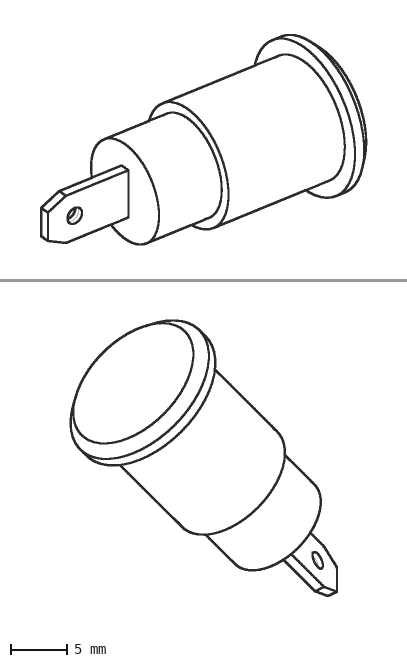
import cadquery as cq

total_length = 31.0

neck_diameter = 10.0
neck_length = 7.0
body_diameter = 12.0
body_length = 13.0
flange_diameter = 15.0
flange_thickness = 2.0
flange_chamfer = 1.0

blade_length = total_length - neck_length - body_length - flange_thickness
blade_width = 5.0
blade_thickness = 1.0
tip_length = 2.0
tip_width = 3.0
hole_diameter = 1.6
hole_from_tip = 3.0

neck_start = blade_length
body_start = neck_start + neck_length
flange_start = body_start + body_length


def cylinder(diameter, start, length):
    """Cylinder on the Y axis running from start toward +Y."""
    return cq.Workplane("XZ", origin=(0, start, 0)).circle(diameter / 2).extrude(-length)


def make_flange():
    """Flange disc with its outer +Y edge chamfered."""
    disc = cylinder(flange_diameter, flange_start, flange_thickness)
    return disc.faces(">Y").edges().chamfer(flange_chamfer)


def make_blade():
    """Blade in the YZ plane with a tapered tip and a cross hole."""
    blade = (
        cq.Workplane("YZ")
        .moveTo(0, -tip_width / 2)
        .lineTo(tip_length, -blade_width / 2)
        .lineTo(blade_length, -blade_width / 2)
        .lineTo(blade_length, blade_width / 2)
        .lineTo(tip_length, blade_width / 2)
        .lineTo(0, tip_width / 2)
        .close()
        .extrude(blade_thickness / 2, both=True)
    )
    hole = (
        cq.Workplane("YZ")
        .center(hole_from_tip, 0)
        .circle(hole_diameter / 2)
        .extrude(blade_thickness, both=True)
    )
    return blade.cut(hole)


neck = cylinder(neck_diameter, neck_start, neck_length)
body = cylinder(body_diameter, body_start, body_length)
result = make_flange().union(body).union(neck).union(make_blade())